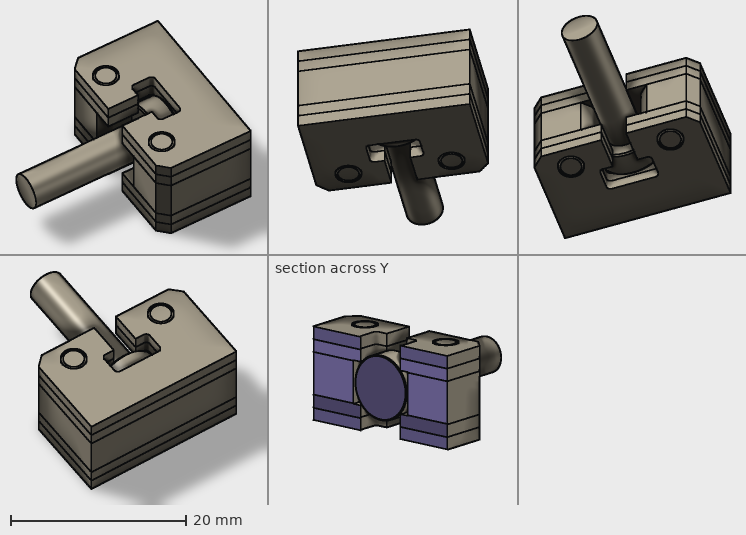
import cadquery as cq
import math


block_width = 20.0
block_depth = 12.0
block_height = 11.1
corner_chamfer = 1.25

middle_thickness = 5.1
side_thickness = (block_height - middle_thickness) / 4

overall_depth = 24.0
shank_diameter = 4.3
head_diameter = 7.68
head_length = 3.0
head_chamfer = 0.2
bolt_tip_y = block_depth - overall_depth

pocket_front_y = 4.0
pocket_depth = head_length
side_pocket_width = 6.25
side_pocket_radius = 0.48
side_slot_width = 3.0
middle_pocket_width = 8.0
middle_slot_width = 5.62

mouth_width = 7.95
mouth_depth = (mouth_width - middle_slot_width) / 2
mouth_radius = 0.8

pin_diameter = 3.0
pin_spacing = 12.0
pin_setback = 2.5
pin_chamfer = 0.3
pin_positions = [(side * pin_spacing / 2, pin_setback) for side in (-1, 1)]


def make_blank(thickness):
    """Plate standing on Z = 0, with both front corners chamfered and the pin holes drilled."""
    blank = (
        cq.Workplane("XY")
        .box(block_width, block_depth, thickness, centered=(True, False, False))
        .edges("|Z and <Y")
        .chamfer(corner_chamfer)
    )
    holes = cq.Workplane("XY").pushPoints(pin_positions).circle(pin_diameter / 2).extrude(thickness)
    return blank.cut(holes)


def make_pocket(width, thickness):
    """Rectangular space that takes the bolt head."""
    return (
        cq.Workplane("XY")
        .box(width, pocket_depth, thickness, centered=(True, False, False))
        .translate((0, pocket_front_y, 0))
    )


def make_side_plate(bottom_z):
    """Outer or inner side plate with a straight slot and a round-cornered pocket."""
    pocket = make_pocket(side_pocket_width, side_thickness).edges("|Z").fillet(side_pocket_radius)
    slot = cq.Workplane("XY").box(
        side_slot_width, pocket_front_y + pocket_depth / 2, side_thickness, centered=(True, False, False)
    )
    return make_blank(side_thickness).cut(pocket).cut(slot).translate((0, 0, bottom_z))


def make_middle_slot():
    """Slot with a 45 degree flare at the front, blended into its straight walls by arcs."""
    half_slot = middle_slot_width / 2
    half_mouth = mouth_width / 2
    bend = math.radians(45)
    tangent_length = mouth_radius * math.tan(bend / 2)
    arc_centre_x = half_slot + mouth_radius
    arc_y = mouth_depth + tangent_length
    start = (arc_centre_x - mouth_radius * math.cos(bend), arc_y - mouth_radius * math.sin(bend))
    middle = (arc_centre_x - mouth_radius * math.cos(bend / 2), arc_y - mouth_radius * math.sin(bend / 2))
    end = (half_slot, arc_y)
    return (
        cq.Workplane("XY")
        .moveTo(half_mouth, 0)
        .lineTo(*start)
        .threePointArc(middle, end)
        .lineTo(half_slot, pocket_front_y)
        .lineTo(-half_slot, pocket_front_y)
        .lineTo(-end[0], end[1])
        .threePointArc((-middle[0], middle[1]), (-start[0], start[1]))
        .lineTo(-half_mouth, 0)
        .close()
        .extrude(middle_thickness)
    )


def make_middle_plate():
    """Thick central plate with a flared slot and a pocket wide enough for the full bolt head."""
    plate = make_blank(middle_thickness)
    plate = plate.cut(make_pocket(middle_pocket_width, middle_thickness))
    plate = plate.cut(make_middle_slot())
    return plate.translate((0, 0, -middle_thickness / 2))


def make_bolt():
    """Bolt lying along Y, its chamfered head seated in the pocket and its shank reaching out in front."""
    head_back_y = pocket_front_y + head_length
    head = (
        cq.Workplane("XZ", origin=(0, head_back_y, 0))
        .circle(head_diameter / 2)
        .extrude(head_length)
        .faces("<Y or >Y")
        .chamfer(head_chamfer)
    )
    shank = (
        cq.Workplane("XZ", origin=(0, pocket_front_y, 0))
        .circle(shank_diameter / 2)
        .extrude(pocket_front_y - bolt_tip_y)
    )
    return head.union(shank)


def make_pin(x, y):
    """Pin running through the whole stack, flush at both ends, with chamfered rims."""
    return (
        cq.Workplane("XY", origin=(x, y, -block_height / 2))
        .circle(pin_diameter / 2)
        .extrude(block_height)
        .faces("<Z or >Z")
        .chamfer(pin_chamfer)
    )


side_plate_bottoms = [
    -block_height / 2,
    -block_height / 2 + side_thickness,
    middle_thickness / 2,
    middle_thickness / 2 + side_thickness,
]

middle_plate = make_middle_plate()
side_plates = [make_side_plate(bottom_z) for bottom_z in side_plate_bottoms]
bolt = make_bolt()
pins = [make_pin(x, y) for x, y in pin_positions]

result = cq.Compound.makeCompound(
    [
        middle_plate.solids().val(),
        *[plate.solids().val() for plate in side_plates],
        bolt.solids().val(),
        *[pin.solids().val() for pin in pins],
    ]
)